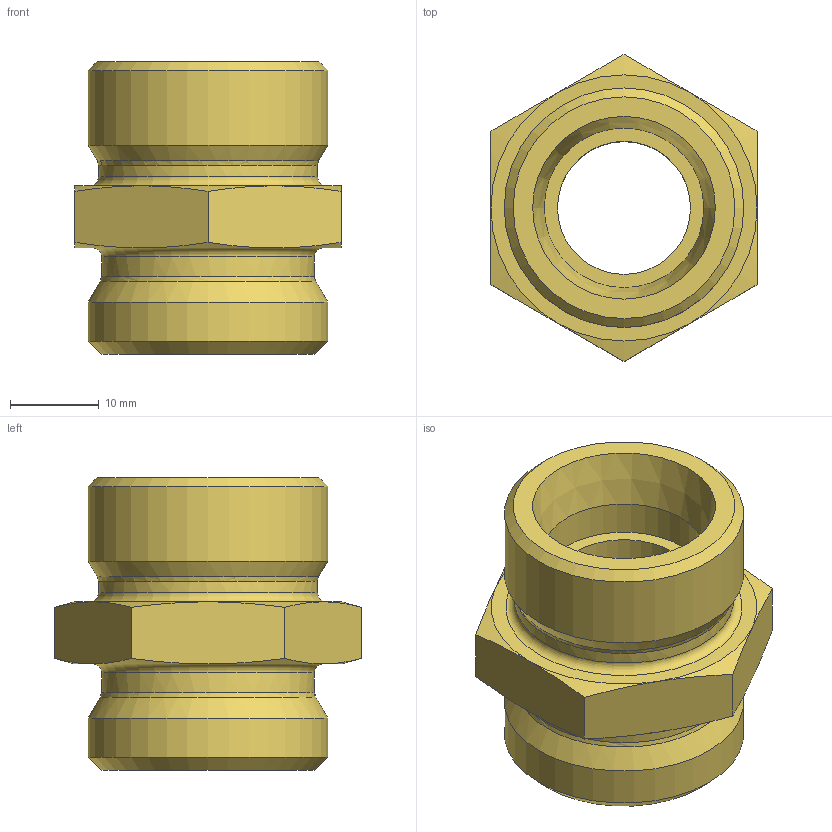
import cadquery as cq
import math

total_height = 33.0
hex_bottom = 12.0
hex_top = 19.0

hex_across_flats = 30.0
hex_sides = 6
hex_half_sector = 180.0 / hex_sides
hex_across_corners = hex_across_flats / math.cos(math.radians(hex_half_sector))
hex_chamfer_angle = 15.0

thread_radius = 27.0 / 2
bottom_chamfer = 1.5
top_chamfer = 1.0

bottom_groove_radius = 24.0 / 2
bottom_groove_width = 3.5
top_groove_radius = 24.7 / 2
top_groove_width = 2.6
groove_flank_angle = 30.0
groove_fillet = 1.0

bore_diameter = 15.0
socket_radius = 18.0 / 2
socket_depth = 10.0
cone_mouth_radius = 20.6 / 2
cone_half_angle = 12.0

tolerance = 1e-4


def stub(end_z, hex_z, end_chamfer, groove_radius, groove_width):
    """Threaded end with an undercut, running from end_z to the hexagon face at hex_z."""
    toward_hex = math.copysign(1, hex_z - end_z)
    flank_inner_z = hex_z - toward_hex * groove_width
    flank_length = (thread_radius - groove_radius) / math.tan(math.radians(groove_flank_angle))
    flank_outer_z = flank_inner_z - toward_hex * flank_length
    return (
        cq.Workplane("XZ")
        .moveTo(0, end_z)
        .lineTo(thread_radius - end_chamfer, end_z)
        .lineTo(thread_radius, end_z + toward_hex * end_chamfer)
        .lineTo(thread_radius, flank_outer_z)
        .lineTo(groove_radius, flank_inner_z)
        .lineTo(groove_radius, hex_z)
        .lineTo(0, hex_z)
        .close()
        .revolve(360, (0, 0, 0), (0, 1, 0))
    )


def hexagon():
    """Hexagon with corners on the Y axis and conically chamfered corners."""
    prism = (
        cq.Workplane("XY", origin=(0, 0, hex_bottom))
        .polygon(hex_sides, hex_across_corners)
        .extrude(hex_top - hex_bottom)
        .rotate((0, 0, 0), (0, 0, 1), hex_half_sector)
    )
    face_radius = hex_across_flats / 2
    corner_radius = hex_across_corners / 2
    corner_drop = (corner_radius - face_radius) * math.tan(math.radians(hex_chamfer_angle))
    chamfer_envelope = (
        cq.Workplane("XZ")
        .moveTo(0, hex_bottom)
        .lineTo(face_radius, hex_bottom)
        .lineTo(corner_radius, hex_bottom + corner_drop)
        .lineTo(corner_radius, hex_top - corner_drop)
        .lineTo(face_radius, hex_top)
        .lineTo(0, hex_top)
        .close()
        .revolve(360, (0, 0, 0), (0, 1, 0))
    )
    return prism.intersect(chamfer_envelope)


def is_groove_corner(edge):
    """True for the circles at the groove corners; an end rim can share their radius but not their height."""
    height = edge.Center().z
    on_groove = any(
        math.isclose(edge.radius(), radius, abs_tol=tolerance)
        for radius in (bottom_groove_radius, top_groove_radius)
    )
    return on_groove and tolerance < height < total_height - tolerance


def fillet_grooves(body):
    """Round the inner corners of both undercuts."""
    corners = [edge for edge in body.edges("%CIRCLE").vals() if is_groove_corner(edge)]
    return body.newObject(corners).fillet(groove_fillet)


def cut_bore(body):
    """Through bore, widened at the top into a tube socket with a conical mouth."""
    cone_depth = (cone_mouth_radius - socket_radius) / math.tan(math.radians(cone_half_angle))
    socket_bottom = total_height - socket_depth
    socket = (
        cq.Workplane("XZ")
        .moveTo(0, socket_bottom)
        .lineTo(socket_radius, socket_bottom)
        .lineTo(socket_radius, total_height - cone_depth)
        .lineTo(cone_mouth_radius, total_height)
        .lineTo(0, total_height)
        .close()
        .revolve(360, (0, 0, 0), (0, 1, 0))
    )
    through_hole = cq.Workplane("XY").circle(bore_diameter / 2).extrude(total_height)
    return body.cut(socket).cut(through_hole)


bottom_stub = stub(0, hex_bottom, bottom_chamfer, bottom_groove_radius, bottom_groove_width)
top_stub = stub(total_height, hex_top, top_chamfer, top_groove_radius, top_groove_width)
outer_body = hexagon().union(bottom_stub).union(top_stub)
result = cut_bore(fillet_grooves(outer_body))